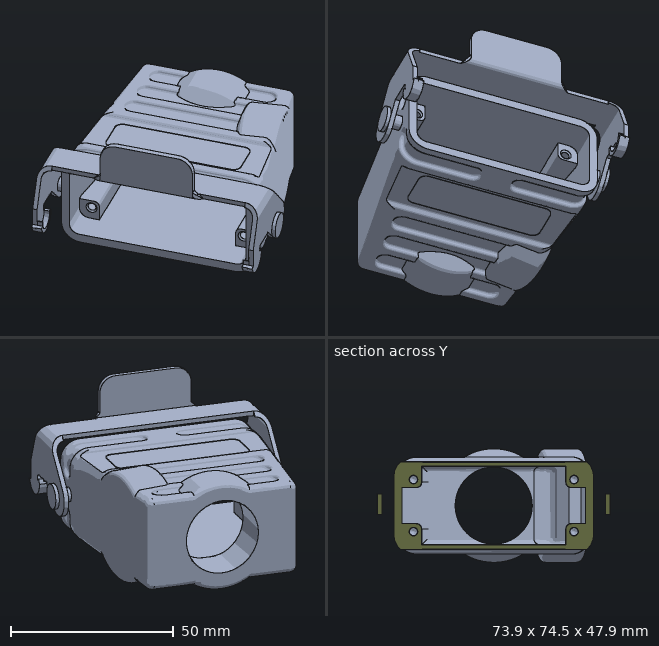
import cadquery as cq
import math

hood_length = 59.2
mouth_half_width = 31.2
back_half_width = 24.5
hood_half_height = 14.9
collar_length = 11.5
mouth_corner_radius = 6.1
back_corner_radius = 2.1
back_edge_fillet = 1.8
side_slope = (mouth_half_width - back_half_width) / (hood_length - collar_length)
side_angle = math.degrees(math.atan(side_slope))

entry_radius = 17.5
entry_hole_diameter = 23.54
entry_rim_fillet = 1.8
entry_inner_fillet = 1.7
entry_end_depth = 4.5
back_entry_length = 12.1
back_entry_run = 4.5
side_entry_y = 40.6
side_entry_length = 12.5
side_entry_run = 1.8

relief_depth = 1.4
groove_half_width = 3.75
groove_floor_half_width = 1.88
first_groove_y = 52.7
groove_pitch = 9.0
first_groove_half_length = 21.3
groove_length_step = 0.95
groove_count = 3
panel_front_y = 10.1
panel_back_y = 29.2
panel_front_run = 1.8
panel_back_run = 2.2
plate_width = 43.7
plate_height = 13.0
plate_corner_radius = 2.5
plate_center_y = 19.4
plate_depth = 0.15
collar_groove_y = 5.3
collar_groove_half_width = 3.4
collar_groove_floor_half_width = 1.45
collar_groove_end = 7.5

cavity_half_width = 28.6
cavity_half_height = 12.0
cavity_corner_radius = 3.2
cavity_back_y = 45.5
cavity_fillet = 1.9
deep_cavity_y = 52.0
deep_cavity_start_x = 12.3
deep_step_fillet = 0.8
deep_corner_fillet = 3.5
thick_side_wall = 6.3
thick_wall_start_y = 24.0
post_face_y = 9.5
post_inner_x = 22.1
post_inner_z = 5.5
post_corner_fillet = 1.7
channel_half_height = post_inner_z + post_corner_fillet
screw_x = 24.65
screw_z = 8.0
screw_diameter = 2.5
screw_mouth_diameter = 3.5
screw_depth = 10.0
screw_tip_length = 0.7

sheet = 1.5
lever_half_width = 35.8
lever_top_z = 17.4
lever_bend_radius = 4.5
bar_back_y = 1.9
bar_front_y = -8.6
pivot_y = 7.5
pivot_diameter = 4.5
pivot_head_diameter = 8.0
pivot_head_end = 36.95
pivot_root = 30.0
ear_center_y = 9.9
ear_center_z = 0.4
ear_radius = 5.9
lower_edge_z = 1.95
hook_center_y = -10.7
hook_center_z = -0.85
hook_radius = 4.6
hook_rim = 1.4
hook_rim_width = 3.3
hook_tip_y = -15.33
hook_tip_z = -2.0
hook_end_angle = -132
hook_middle_angle = -70
notch_start_y = -6.9
notch_middle = (-7.7, 1.6)
notch_end = (-7.9, 0.7)
lip_start = (-7.7, 0)
lip_top = (-7.1, 0.45)
lip_end = (-6.5, 0.1)
front_edge_y = -14.1
front_edge_low_z = -1.6
front_edge_high_z = 4.1
bend_front_y = -10.3
tab_half_width = 14.95
tab_top_z = 30.42
tab_corner_radius = 5.0
tab_back_y = -9.0
tab_thickness = 1.8
tab_flare_half_width = 17.8
tab_flare_top_z = 18.8
tab_bend_radius = 2.0

overshoot = 0.5


def rounded_section(half_width, half_height, radius, y):
    """Rounded rectangle in the plane at the given Y."""
    plane = cq.Plane(origin=(0, y, 0), xDir=(1, 0, 0), normal=(0, 1, 0))
    sketch = cq.Sketch().rect(2 * half_width, 2 * half_height).vertices().fillet(radius)
    return cq.Workplane(plane).placeSketch(sketch)


def block(x, y, z):
    """Box given by its (low, high) limits along each axis."""
    size = (x[1] - x[0], y[1] - y[0], z[1] - z[0])
    return cq.Workplane("XY").box(*size, centered=False).translate((x[0], y[0], z[0]))


def on_top_and_bottom(shape):
    """The shape together with its mirror image below Z = 0."""
    return shape.union(shape.mirror("XY"))


def on_both_sides(shape):
    """The shape together with its mirror image across X = 0."""
    return shape.union(shape.mirror("YZ"))


def hood_blank():
    """Straight collar at the mouth and a taper whose corner radius shrinks toward the back."""
    collar = rounded_section(mouth_half_width, hood_half_height, mouth_corner_radius, 0)
    collar = collar.extrude(collar_length)
    front = cq.Sketch().rect(2 * mouth_half_width, 2 * hood_half_height)
    front = front.vertices().fillet(mouth_corner_radius)
    back = cq.Sketch().rect(2 * back_half_width, 2 * hood_half_height)
    back = back.vertices().fillet(back_corner_radius)
    taper_length = hood_length - collar_length
    plane = cq.Plane(origin=(0, collar_length, 0), xDir=(1, 0, 0), normal=(0, 1, 0))
    taper = cq.Workplane(plane).placeSketch(front, back.moved(cq.Location(cq.Vector(0, 0, taper_length))))
    taper = taper.loft(ruled=True).faces(">Y").edges().fillet(back_edge_fillet)
    return collar.union(taper)


def entry_boss(length, end_run):
    """Boss along +Y ending at Y = 0: rounded outer rim, conical inner end with a rounded shoulder."""
    profile = [
        (0, 0),
        (entry_radius, 0),
        (entry_radius, -length),
        (entry_radius - entry_end_depth, -length - end_run),
        (0, -length - end_run),
    ]
    boss = cq.Workplane("XY").polyline(profile).close().revolve(360, (0, 0, 0), (0, 1, 0))
    boss = boss.edges(">Y").fillet(entry_rim_fillet)
    shoulder = cq.NearestToPointSelector((0, -length, 0))
    return boss.edges(shoulder).fillet(entry_inner_fillet)


def back_entry():
    return entry_boss(back_entry_length, back_entry_run).translate((0, hood_length, 0))


def side_entry():
    face_x = mouth_half_width - side_slope * (side_entry_y - collar_length)
    boss = entry_boss(side_entry_length, side_entry_run)
    boss = boss.rotate((0, 0, 0), (0, 0, 1), side_angle - 90)
    return boss.translate((face_x, side_entry_y, 0))


def relief_wall(outline, start, end):
    """Add an S-shaped wall of two equal tangent arcs; the wall is level at both ends."""
    run = end[0] - start[0]
    rise = end[1] - start[1]
    radius = (run**2 + rise**2) / (4 * abs(rise))
    half_turn = math.atan(abs(rise / run))
    sag_run = math.copysign(radius * math.sin(half_turn), run)
    sag_rise = math.copysign(radius * (1 - math.cos(half_turn)), rise)
    middle = (start[0] + run / 2, start[1] + rise / 2)
    outline = outline.threePointArc((start[0] + sag_run, start[1] + sag_rise), middle)
    return outline.threePointArc((end[0] - sag_run, end[1] - sag_rise), end)


def groove_end(half_width, floor_half_width):
    """Round groove end sinking from Z = 0, opening upward."""
    outline = cq.Workplane("XZ").moveTo(0, -relief_depth).lineTo(floor_half_width, -relief_depth)
    outline = relief_wall(outline, (floor_half_width, -relief_depth), (half_width, 0))
    outline = outline.lineTo(half_width, overshoot).lineTo(0, overshoot).close()
    return outline.revolve(360, (0, 0, 0), (0, 1, 0))


def groove_profile(plane, half_width, floor_half_width):
    """Groove cross-section; plane X runs across the groove and plane Y out of the surface."""
    outline = cq.Workplane(plane).moveTo(-floor_half_width, -relief_depth)
    outline = outline.lineTo(floor_half_width, -relief_depth)
    outline = relief_wall(outline, (floor_half_width, -relief_depth), (half_width, 0))
    outline = outline.lineTo(half_width, overshoot).lineTo(-half_width, overshoot).lineTo(-half_width, 0)
    return relief_wall(outline, (-half_width, 0), (-floor_half_width, -relief_depth)).close()


def cross_groove(y, half_length):
    reach = half_length - groove_half_width
    plane = cq.Plane(origin=(-reach, 0, 0), xDir=(0, 1, 0), normal=(1, 0, 0))
    groove = groove_profile(plane, groove_half_width, groove_floor_half_width).extrude(2 * reach)
    end = groove_end(groove_half_width, groove_floor_half_width)
    for x in (-reach, reach):
        groove = groove.union(end.translate((x, 0, 0)))
    return groove.translate((0, y, hood_half_height))


def corner_groove():
    """Collar groove wrapping the +X +Z corner, from the top face round to the side face."""
    radius = mouth_corner_radius
    corner_x = mouth_half_width - radius
    corner_z = hood_half_height - radius
    widths = (collar_groove_half_width, collar_groove_floor_half_width)

    top_plane = cq.Plane(origin=(collar_groove_end, 0, hood_half_height), xDir=(0, 1, 0), normal=(1, 0, 0))
    groove = groove_profile(top_plane, *widths).extrude(corner_x - collar_groove_end)

    bend_plane = cq.Plane(origin=(corner_x, 0, hood_half_height), xDir=(0, 1, 0), normal=(1, 0, 0))
    bend = groove_profile(bend_plane, *widths).revolve(90, (-1, -radius, 0), (1, -radius, 0))
    groove = groove.union(bend)

    side_plane = cq.Plane(origin=(mouth_half_width, 0, corner_z), xDir=(0, 1, 0), normal=(0, 0, -1))
    side = groove_profile(side_plane, *widths)
    side = side.extrude(corner_z - collar_groove_end)
    groove = groove.union(side)

    end = groove_end(*widths)
    groove = groove.union(end.translate((collar_groove_end, 0, hood_half_height)))
    side_end = end.rotate((0, 0, 0), (0, 1, 0), 90)
    groove = groove.union(side_end.translate((mouth_half_width, 0, collar_groove_end)))
    return groove.translate((0, collar_groove_y, 0))


def label_panel():
    """Full-width recess with sloped ends and a shallow rounded plate outline in its floor."""
    floor_z = hood_half_height - relief_depth
    front_floor = (panel_front_y + panel_front_run, floor_z)
    back_floor = (panel_back_y - panel_back_run, floor_z)
    front_rim = (panel_front_y, hood_half_height)
    back_rim = (panel_back_y, hood_half_height)
    outline = cq.Workplane("YZ").moveTo(*front_floor).lineTo(*back_floor)
    outline = relief_wall(outline, back_floor, back_rim)
    outline = outline.line(0, overshoot).lineTo(panel_front_y, hood_half_height + overshoot)
    outline = outline.lineTo(*front_rim)
    outline = relief_wall(outline, front_rim, front_floor).close()
    recess = outline.extrude(mouth_half_width, both=True)
    plate = cq.Workplane("XY").box(plate_width, plate_height, 2 * plate_depth)
    plate = plate.edges("|Z").fillet(plate_corner_radius)
    return recess.union(plate.translate((0, plate_center_y, floor_z)))


def surface_relief():
    relief = label_panel()
    for i in range(groove_count):
        y = first_groove_y - i * groove_pitch
        relief = relief.union(cross_groove(y, first_groove_half_length + i * groove_length_step))
    relief = relief.union(on_both_sides(corner_groove()))
    return on_top_and_bottom(relief)


def side_wall_x(y, thickness):
    """X of a wall running parallel to the tapered +X side, the given distance inside it."""
    return mouth_half_width - side_slope * (y - collar_length) - thickness


def main_cavity():
    """Mouth pocket, then a chamber that reaches deeper beside the thick wall of the side entry."""
    pocket = rounded_section(cavity_half_width, cavity_half_height, cavity_corner_radius, 0)
    pocket = pocket.extrude(post_face_y)

    thick_wall_y = collar_length + (mouth_half_width - thick_side_wall - post_inner_x) / side_slope
    corner_x = side_wall_x(deep_cavity_y, thick_side_wall)
    chamber = (
        cq.Workplane("XY")
        .workplane(offset=-cavity_half_height)
        .moveTo(-post_inner_x, 0)
        .lineTo(post_inner_x, 0)
        .lineTo(post_inner_x, thick_wall_y)
        .lineTo(corner_x, deep_cavity_y)
        .lineTo(deep_cavity_start_x, deep_cavity_y)
        .lineTo(deep_cavity_start_x, cavity_back_y)
        .lineTo(-post_inner_x, cavity_back_y)
        .close()
        .extrude(2 * cavity_half_height)
    )
    deep_corner = cq.NearestToPointSelector((corner_x, deep_cavity_y, 0))
    chamber = chamber.edges(deep_corner).fillet(deep_corner_fillet)
    step_edge = cq.NearestToPointSelector((deep_cavity_start_x, cavity_back_y, 0))
    chamber = chamber.edges(step_edge).fillet(deep_step_fillet)
    back_face = cq.NearestToPointSelector((0, cavity_back_y, 0))
    chamber = chamber.faces(back_face).edges("|X or <X").fillet(cavity_fillet)
    deep_face = cq.NearestToPointSelector((deep_cavity_start_x + deep_step_fillet, deep_cavity_y, 0))
    chamber = chamber.faces(deep_face).edges("|X").fillet(cavity_fillet)

    channels = left_channel().union(right_channel()).cut(screw_posts())
    return pocket.union(chamber).union(channels)


def screw_posts():
    """Full-depth posts beside the channels, each with its inner corner rounded."""
    post_z = (post_inner_z, hood_half_height)
    post = block((post_inner_x, mouth_half_width), (post_face_y, hood_length), post_z)
    post = post.edges("|Y and <X and <Z").fillet(post_corner_fillet)
    return on_top_and_bottom(on_both_sides(post))


def left_channel():
    """Passage between the -X posts along the sloping side wall."""
    wall = mouth_half_width - cavity_half_width
    channel = (
        cq.Workplane("XY")
        .workplane(offset=-channel_half_height)
        .moveTo(0, post_face_y)
        .lineTo(-cavity_half_width, post_face_y)
        .lineTo(-cavity_half_width, collar_length)
        .lineTo(-side_wall_x(cavity_back_y, wall), cavity_back_y)
        .lineTo(0, cavity_back_y)
        .close()
        .extrude(2 * channel_half_height)
    )
    back_corner = cq.NearestToPointSelector((-side_wall_x(cavity_back_y, wall), cavity_back_y, 0))
    return channel.edges(back_corner).fillet(cavity_fillet)


def right_channel():
    """Passage between the +X posts, ending against the thick wall of the side entry."""
    wall = mouth_half_width - cavity_half_width
    return (
        cq.Workplane("XY")
        .workplane(offset=-channel_half_height)
        .moveTo(0, post_face_y)
        .lineTo(cavity_half_width, post_face_y)
        .lineTo(cavity_half_width, collar_length)
        .lineTo(side_wall_x(thick_wall_start_y, wall), thick_wall_start_y)
        .lineTo(side_wall_x(thick_wall_start_y, thick_side_wall), thick_wall_start_y)
        .lineTo(side_wall_x(cavity_back_y, thick_side_wall), cavity_back_y)
        .lineTo(0, cavity_back_y)
        .close()
        .extrude(2 * channel_half_height)
    )


def entry_hole():
    plane = cq.Plane(origin=(0, collar_length, 0), xDir=(1, 0, 0), normal=(0, 1, 0))
    return cq.Workplane(plane).circle(entry_hole_diameter / 2).extrude(hood_length)


def screw_holes():
    """Blind holes in the post faces with a countersunk mouth and a drill-point bottom."""
    radius = screw_diameter / 2
    mouth_radius = screw_mouth_diameter / 2
    points = [
        (0, 0),
        (mouth_radius, 0),
        (radius, mouth_radius - radius),
        (radius, screw_depth),
        (0, screw_depth + screw_tip_length),
    ]
    hole = cq.Workplane("XY").polyline(points).close().revolve(360, (0, 0, 0), (0, 1, 0))
    hole = hole.translate((screw_x, post_face_y, screw_z))
    return on_top_and_bottom(on_both_sides(hole))


def on_circle(center_y, center_z, radius, degrees):
    angle = math.radians(degrees)
    return center_y + radius * math.cos(angle), center_z + radius * math.sin(angle)


def lever_side_profile():
    """Side outline of the lever in the YZ plane: pivot ear, top bar and locking hook."""

    def ear(degrees):
        return on_circle(ear_center_y, ear_center_z, ear_radius, degrees)

    def hook(degrees):
        return on_circle(hook_center_y, hook_center_z, hook_radius, degrees)

    lower_y = ear(225)[0] - (lower_edge_z - ear(225)[1])
    return (
        cq.Workplane("YZ")
        .moveTo(bar_back_y, lever_top_z)
        .lineTo(*ear(45))
        .threePointArc(ear(-45), ear(225))
        .lineTo(lower_y, lower_edge_z)
        .lineTo(notch_start_y, lower_edge_z)
        .threePointArc(notch_middle, notch_end)
        .lineTo(*lip_start)
        .threePointArc(lip_top, lip_end)
        .lineTo(*hook(0))
        .threePointArc(hook(hook_middle_angle), hook(hook_end_angle))
        .lineTo(hook_tip_y, hook_tip_z)
        .lineTo(front_edge_y, front_edge_low_z)
        .lineTo(front_edge_y, front_edge_high_z)
        .lineTo(bend_front_y, lever_top_z - lever_bend_radius)
        .lineTo(bar_front_y, lever_top_z)
        .close()
    )


def lever_strap():
    """Bent sheet strap: an inverted U in the XZ plane trimmed to the side outline."""
    inner_half_width = lever_half_width - sheet
    low_z = hook_center_z - 2 * hook_radius
    strap_y = (hook_tip_y, hood_length)
    outer = block((-lever_half_width, lever_half_width), strap_y, (low_z, lever_top_z))
    outer = outer.edges("|Y and >Z").fillet(lever_bend_radius)
    inner = block((-inner_half_width, inner_half_width), strap_y, (low_z, lever_top_z - sheet))
    inner = inner.edges("|Y and >Z").fillet(lever_bend_radius - sheet)
    strap = outer.cut(inner).intersect(lever_side_profile().extrude(lever_half_width, both=True))
    flat_half_width = lever_half_width - lever_bend_radius
    flat_x = (-flat_half_width, flat_half_width)
    flat_z = (low_z, lever_top_z)
    behind_bar = block(flat_x, (bar_back_y, hood_length), flat_z)
    before_bar = block(flat_x, (hook_tip_y, bar_front_y), flat_z)
    return strap.cut(behind_bar).cut(before_bar)


def hook_rims():
    """Inward flange that follows the rounded underside of each hook."""
    inner_x = lever_half_width - hook_rim_width
    rim = cq.Workplane("YZ").workplane(offset=inner_x).center(hook_center_y, hook_center_z)
    rim = rim.circle(hook_radius).circle(hook_radius - hook_rim).extrude(hook_rim_width)
    reach = 2 * hook_radius
    lower_half = block(
        (inner_x, lever_half_width),
        (hook_center_y - reach, hook_center_y + reach),
        (hook_center_z - reach, hook_center_z + hook_rim / 2),
    )
    return on_both_sides(rim.intersect(lower_half).intersect(lever_side_profile().extrude(lever_half_width)))


def thumb_tab():
    """Upright tab bent up from the bar, with a flared root."""
    front_y = tab_back_y - tab_thickness
    base_z = lever_top_z - sheet
    tab = block((-tab_half_width, tab_half_width), (front_y, tab_back_y), (base_z, tab_top_z))
    tab = tab.edges("|Y and >Z").fillet(tab_corner_radius)
    root = block((-tab_half_width, tab_half_width), (front_y, bar_front_y), (base_z, lever_top_z))
    tab = tab.union(root).edges("<Y and <Z").fillet(tab_bend_radius)

    flare_plan = [
        (-tab_flare_half_width, bar_front_y),
        (-tab_half_width, front_y),
        (tab_half_width, front_y),
        (tab_flare_half_width, bar_front_y),
    ]
    flare = cq.Workplane("XY").workplane(offset=base_z).polyline(flare_plan).close()
    flare = flare.extrude(tab_flare_top_z - base_z).edges("<Y and <Z").fillet(tab_bend_radius)
    flare_front = [
        (-tab_flare_half_width, base_z),
        (-tab_half_width, tab_flare_top_z),
        (tab_half_width, tab_flare_top_z),
        (tab_flare_half_width, base_z),
    ]
    slope = cq.Workplane("XZ").polyline(flare_front).close().extrude(-2 * front_y)
    flare_x = (-tab_flare_half_width, tab_flare_half_width)
    above_bar = block(flare_x, (tab_back_y, 0), (lever_top_z, tab_top_z))
    flare = flare.intersect(slope).cut(above_bar)
    return tab.union(flare)


def pivots():
    pin = cq.Workplane("YZ").workplane(offset=pivot_root).center(pivot_y, 0)
    pin = pin.circle(pivot_diameter / 2).extrude(lever_half_width - pivot_root)
    head = cq.Workplane("YZ").workplane(offset=lever_half_width).center(pivot_y, 0)
    head = head.circle(pivot_head_diameter / 2).extrude(pivot_head_end - lever_half_width)
    return on_both_sides(pin.union(head))


hood = hood_blank().cut(surface_relief())
hood = hood.union(back_entry()).union(side_entry())
hood = hood.cut(main_cavity()).cut(entry_hole()).cut(screw_holes())
lever = lever_strap().union(hook_rims()).union(thumb_tab())
result = hood.union(lever).union(pivots())